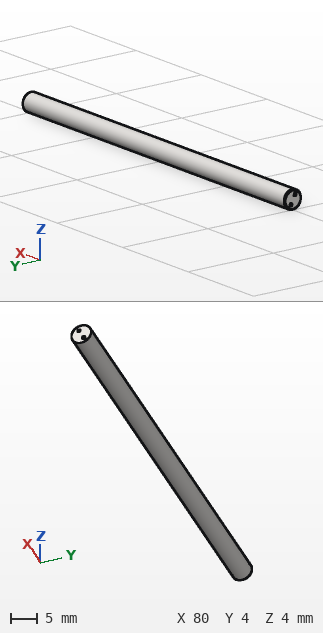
import cadquery as cq
import math

length = 80.0
diameter = 4.0
edge_chamfer = 0.2

channel_diameter = 0.6
channel_spacing = 2.1
channel_angle = 27.0


def make_rod():
    """Round rod with the edge of its X = 0 end chamfered."""
    rod = cq.Workplane("YZ").circle(diameter / 2).extrude(length)
    return rod.faces("<X").chamfer(edge_chamfer)


def make_channels():
    """Pair of straight round channels parallel to the rod axis."""
    tilt = math.radians(channel_angle)
    offset_y = -channel_spacing / 2 * math.sin(tilt)
    offset_z = channel_spacing / 2 * math.cos(tilt)
    centers = [(side * offset_y, side * offset_z) for side in (1, -1)]
    return cq.Workplane("YZ").pushPoints(centers).circle(channel_diameter / 2).extrude(length)


result = make_rod().cut(make_channels())